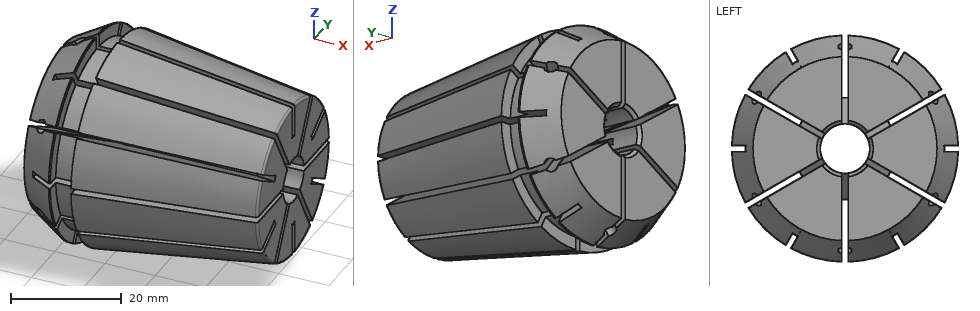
import cadquery as cq
import math


length = 46.0
max_radius = 41.0 / 2
nose_angle = 30.0
body_angle = 8.0
head_length = 7.0
rim_width = 0.3
groove_end = 11.15
groove_radius = 18.1
tail_fillet = 0.5

bore_radius = 4.45
bore_chamfer = 0.65

slot_width = 1.1
slots_per_end = 6
slot_pitch = 360.0 / slots_per_end
cutter_radius = 29.9
nose_slot_centre = (23.7, 29.1)
tail_slot_centre = (32.25, 19.85)

relief_diameter = 2.5
relief_x = 3.15

cone_length = head_length - rim_width
nose_slope = math.tan(math.radians(nose_angle))
face_radius = max_radius - cone_length * nose_slope
tail_radius = max_radius - (length - groove_end) * math.tan(math.radians(body_angle))
overrun = 4.6


def turned_body():
    outline = [
        (0, 0),
        (0, face_radius),
        (cone_length, max_radius),
        (head_length, max_radius),
        (head_length, groove_radius),
        (groove_end, groove_radius),
        (groove_end, max_radius),
        (length, tail_radius),
        (length, 0),
    ]
    body = cq.Workplane("XY").polyline(outline).close().revolve(360, (0, 0, 0), (1, 0, 0))
    body = body.faces(">X").edges().fillet(tail_fillet)
    bore = cq.Workplane("YZ").circle(bore_radius).extrude(length)
    body = body.cut(bore)
    bore_rim = body.faces("<X").edges(cq.selectors.RadiusNthSelector(0))
    return bore_rim.chamfer(bore_chamfer)


def slot_cutter(centre, open_x):
    """Slot on the +Z side, open at open_x and ending in the arc of the disc cutter."""
    centre_x, centre_radius = centre
    disc = (
        cq.Workplane("XZ")
        .center(centre_x, centre_radius)
        .circle(cutter_radius)
        .extrude(slot_width / 2, both=True)
    )
    sweep_bottom = centre_radius - cutter_radius
    sweep_height = max_radius + overrun - sweep_bottom
    sweep = cq.Workplane("XY").box(abs(open_x - centre_x), slot_width, sweep_height)
    sweep = sweep.translate(((open_x + centre_x) / 2, 0, sweep_bottom + sweep_height / 2))
    upper_half = cq.Workplane("XY").box(
        4 * length, slot_width, 2 * max_radius, centered=(True, True, False)
    )
    return disc.union(sweep).intersect(upper_half)


def relief_drill():
    """Drill on the +Z side, running inward from outside the nose cone into the bore."""
    angle = math.radians(nose_angle)
    inward = cq.Vector(math.sin(angle), 0, -math.cos(angle))
    entry = cq.Vector(relief_x, 0, face_radius + relief_x * nose_slope)
    end_radius = bore_radius / 2
    depth = (entry.z - end_radius) / math.cos(angle)
    start = entry - inward * overrun
    return cq.Workplane(
        cq.Solid.makeCylinder(relief_diameter / 2, depth + overrun, start, inward)
    )


def cut_around(body, tool, first_angle):
    """Cut the tool from the body at equal steps about the X axis."""
    for index in range(slots_per_end):
        angle = first_angle + index * slot_pitch
        body = body.cut(tool.rotate((0, 0, 0), (1, 0, 0), angle))
    return body


result = turned_body()
result = cut_around(result, slot_cutter(nose_slot_centre, -overrun), 0)
result = cut_around(result, slot_cutter(tail_slot_centre, length + overrun), slot_pitch / 2)
result = cut_around(result, relief_drill(), 0)